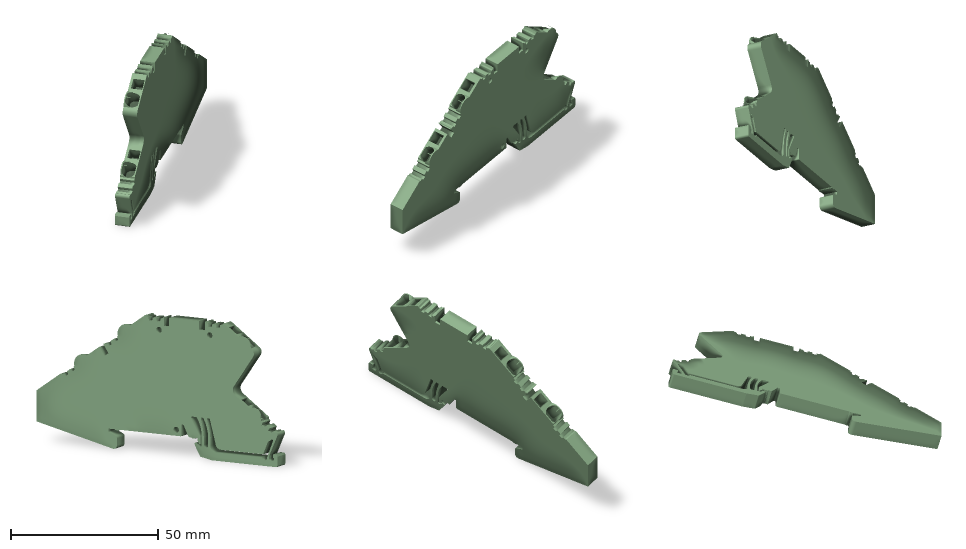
import cadquery as cq
import math

WIDTH = 5.1
HALF_WIDTH = WIDTH / 2
HALF_LENGTH = 47.5
TOP = 47.6
SLOPE = 35.0
COS = math.cos(math.radians(SLOPE))
SIN = math.sin(math.radians(SLOPE))

LEFT, RIGHT = 1, -1
TOP_LEFT_EDGE = 4.8
TOP_RIGHT_EDGE = -26.1
TIER_PITCH = 20.9
RAIL_FACE = 7.1
RAIL_PAD = 6.8

STEP_ALONG = 15.6
STEP_DROP = 17.3
STEP_CORNER_RADIUS = 1.9
STEP_ROOT_RADIUS = 2.3
LOWER_TIER_START = 17.6

POCKET_START = 2.1
LOWER_RIGHT_POCKET_START = 2.6
POCKET_END = 5.9
POCKET_DEPTH = 5.7
POCKET_X_MIN = -1.7
POCKET_X_MAX = 2.3
DOME_START = 7.2
DOME_END = 13.4
LOWER_RIGHT_DOME_END = 12.5
DOME_HEIGHT = 1.7
DOME_END_DROP = 0.5
DOME_ROOT = 0.95
DOME_WIDTH = 2.0
WIRE_HOLE_CENTER = 10.3
WIRE_HOLE_WIDTH = 4.4
WIRE_HOLE_DIAMETER = 5.5
WIRE_HOLE_DEPTH = 5.7
COMB_CENTER = 16.2

COMB_HALF_LENGTH = 3.5
COMB_CLEARANCE = 0.95
SHOULDER_EDGE = 3.1
NOTCH_MOUTH_OUTER = 2.4
NOTCH_MOUTH_INNER = 0.8
NOTCH_FLOOR = (0.95, 2.2)
TOOTH_DROP = 0.6
NOTCH_DEPTH = 1.7
TOP_COMB_CENTERS = (1.0, -22.5)

MARKER_SLOTS = ((-4.75, -2.7), (-18.8, -16.5))
MARKER_SLOT_DEPTH = 3.0
BRIDGE_POCKET_DEPTH = 2.85
BRIDGE_POCKET_WALL = 0.8

FLANK_SLOT_START = 20.0
FLANK_SLOT_WIDTH = 1.9
FLANK_SLOT_DEPTH = 3.6

SOCKET_CENTERS = ((-0.8, 43.0), (-20.7, 43.0), (-7.5, 9.2))
SOCKET_RADIUS = 1.0
SOCKET_DEPTH = 1.9


def flank_point(tier, along, above):
    """Point (y, z) at a distance down the flank and a height square to it."""
    start_y, start_z, side = tier
    y = start_y + side * (along * COS + above * SIN)
    return y, start_z - along * SIN + above * COS


def rounded_outline(corners):
    """Closed YZ wire through (y, z) or (y, z, radius) corners."""
    ends = []
    for i, corner in enumerate(corners):
        point = cq.Vector(corner[0], corner[1])
        radius = corner[2] if len(corner) > 2 else 0
        if radius == 0:
            ends.append((point, point, point))
            continue
        before = (cq.Vector(*corners[i - 1][:2]) - point).normalized()
        after = (cq.Vector(*corners[(i + 1) % len(corners)][:2]) - point).normalized()
        half_angle = before.getAngle(after) / 2
        setback = radius / math.tan(half_angle)
        bisector = (before + after).normalized()
        middle = point + bisector * (radius / math.sin(half_angle) - radius)
        ends.append((point + before * setback, middle, point + after * setback))

    first = ends[0][2]
    wire = cq.Workplane("YZ").moveTo(first.x, first.y)
    for start, middle, end in ends[1:] + ends[:1]:
        wire = wire.lineTo(start.x, start.y)
        if start != end:
            wire = wire.threePointArc((middle.x, middle.y), (end.x, end.y))
    return wire.close()


def through(outline):
    """Extrude a YZ outline over the whole thickness."""
    return outline.extrude(HALF_WIDTH, both=True)


def flank_plane(tier, along):
    """Work plane on the flank: local x is X, local y is side * distance down it."""
    y, z = flank_point(tier, along, 0)
    return cq.Workplane(cq.Plane((0, y, z), (1, 0, 0), (0, tier[2] * SIN, COS)))


UPPER_LEFT = (TOP_LEFT_EDGE, TOP, LEFT)
LOWER_LEFT = (*flank_point(UPPER_LEFT, TIER_PITCH, 0), LEFT)
UPPER_RIGHT = (TOP_RIGHT_EDGE, TOP, RIGHT)
LOWER_RIGHT = (*flank_point(UPPER_RIGHT, LOWER_TIER_START, -STEP_DROP), RIGHT)
TIER_FITTINGS = (
    (UPPER_LEFT, POCKET_START, DOME_END),
    (LOWER_LEFT, POCKET_START, DOME_END),
    (UPPER_RIGHT, POCKET_START, DOME_END),
    (LOWER_RIGHT, LOWER_RIGHT_POCKET_START, LOWER_RIGHT_DOME_END),
)
COMBED_TIERS = (UPPER_LEFT, LOWER_LEFT, LOWER_RIGHT)

LOWER_TIER_CORNER = 20.8
RAIL_FACE_END = -16.0


def body():
    left_flank_length = (HALF_LENGTH - TOP_LEFT_EDGE) / COS
    return through(rounded_outline([
        (TOP_LEFT_EDGE, TOP),
        flank_point(UPPER_LEFT, left_flank_length, 0),
        (HALF_LENGTH, 6.9),
        (15.9, 0, 1.3),
        (15.9, 4.7, 0.95),
        (19.1, 6.1),
        (19.1, RAIL_FACE),
        (16.6, RAIL_FACE),
        (16.4, RAIL_PAD),
        (15.2, RAIL_PAD),
        (14.9, RAIL_FACE),
        (-9.6, RAIL_FACE, 0.3),
        (-9.6, 11.2),
        (-10.4, 11.2, 0.3),
        (-12.4, RAIL_FACE),
        (-13.6, RAIL_FACE),
        (-13.8, RAIL_PAD),
        (-14.9, RAIL_PAD),
        (-15.1, RAIL_FACE),
        (RAIL_FACE_END, RAIL_FACE),
        (RAIL_FACE_END, 5.8),
        (-14.6, 5.3),
        (-15.0, 4.3),
        (-17.0, 0.9, 0.5),
        (-21.4, 0),
        (-HALF_LENGTH, 0, 0.7),
        (-HALF_LENGTH, 3.7),
        (-47.2, 4.3),
        (-45.6, 4.3),
        (-45.6, 3.1),
        (-46.0, 3.1),
        (-46.0, 2.0, 0.5),
        (-44.2, 2.0, 0.7),
        (-44.2, 3.6),
        (*flank_point(LOWER_RIGHT, LOWER_TIER_CORNER, 0), 0.9),
        (*flank_point(UPPER_RIGHT, STEP_ALONG, -STEP_DROP), STEP_ROOT_RADIUS),
        (*flank_point(UPPER_RIGHT, STEP_ALONG, 0), STEP_CORNER_RADIUS),
        (TOP_RIGHT_EDGE, TOP),
    ]))


def latch_slot():
    """Slot behind the tongue; a narrow throat opens it past the barb."""
    outline = (
        cq.Workplane("YZ")
        .moveTo(-17.0, 7.7)
        .lineTo(-13.3, 13.9)
        .lineTo(-13.5, 14.3)
        .lineTo(-15.6, 14.3)
        .threePointArc((-17.0, 11.4), (-17.6, 8.1))
        .lineTo(-17.6, 4.4)
        .lineTo(-16.8, 4.4)
        .lineTo(-15.8, 5.1)
        .lineTo(-15.8, 5.9)
        .lineTo(-16.0, 6.2)
        .lineTo(-16.6, 5.1)
        .lineTo(-17.1, 5.1)
        .close()
    )
    return through(outline)


def spring_slot():
    """Curved slot between the two spring strips."""
    outline = (
        cq.Workplane("YZ")
        .moveTo(-17.3, 14.3)
        .lineTo(-18.1, 14.3)
        .threePointArc((-19.6, 11.1), (-20.1, 7.8))
        .lineTo(-20.1, 4.9)
        .threePointArc((-19.3, 4.2), (-18.4, 4.9))
        .lineTo(-18.4, 7.5)
        .threePointArc((-18.0, 10.5), (-17.3, 13.5))
        .close()
    )
    return through(outline)


def foot_slot():
    """Long slot that parts the foot from the body and runs up both ends."""
    outline = (
        cq.Workplane("YZ")
        .moveTo(-19.7, 14.3)
        .lineTo(-20.7, 14.3)
        .lineTo(-23.0, 6.0)
        .threePointArc((-23.6, 4.7), (-24.8, 4.0))
        .lineTo(-41.8, 4.0)
        .lineTo(-43.7, 8.5)
        .lineTo(-44.7, 9.0)
        .threePointArc((-45.2, 9.4), (-45.6, 8.7))
        .lineTo(-43.3, 3.0)
        .threePointArc((-42.6, 2.0), (-41.4, 2.85))
        .lineTo(-22.9, 2.85)
        .threePointArc((-21.6, 3.5), (-21.0, 4.8))
        .lineTo(-21.0, 7.6)
        .threePointArc((-20.5, 10.7), (-19.6, 13.8))
        .close()
    )
    return through(outline)


def comb_cutter(frame, center):
    """Two notches, a lowered tooth and sloping shoulders."""
    half_profile = [
        (COMB_HALF_LENGTH, 0),
        (SHOULDER_EDGE, -TOOTH_DROP),
        (NOTCH_MOUTH_OUTER, -TOOTH_DROP),
        (NOTCH_FLOOR[1], -NOTCH_DEPTH),
        (NOTCH_FLOOR[0], -NOTCH_DEPTH),
        (NOTCH_MOUTH_INNER, -TOOTH_DROP),
    ]
    profile = [(-COMB_HALF_LENGTH, COMB_CLEARANCE)]
    profile += [(-along, above) for along, above in half_profile]
    profile += half_profile[::-1]
    profile += [(COMB_HALF_LENGTH, COMB_CLEARANCE)]
    points = [frame(center + along, above) for along, above in profile]
    return through(cq.Workplane("YZ").polyline(points).close())


def top_point(y, above):
    return y, TOP + above


def marker_slot(y_min, y_max):
    """Full-width slot in the top with a walled pocket in its floor."""
    center = (y_min + y_max) / 2
    length = y_max - y_min
    top_plane = cq.Workplane("XY", origin=(0, center, TOP))
    slot = top_plane.rect(WIDTH, length).extrude(-MARKER_SLOT_DEPTH)
    pocket = (
        top_plane.rect(WIDTH - 2 * BRIDGE_POCKET_WALL, length)
        .extrude(-MARKER_SLOT_DEPTH - BRIDGE_POCKET_DEPTH)
    )
    return slot.union(pocket)


def flank_slot():
    center = FLANK_SLOT_START + FLANK_SLOT_WIDTH / 2
    return flank_plane(UPPER_LEFT, center).rect(WIDTH, FLANK_SLOT_WIDTH).extrude(-FLANK_SLOT_DEPTH)


def test_pocket(tier, start):
    """Rectangular pocket sunk square to the flank."""
    return (
        flank_plane(tier, (start + POCKET_END) / 2)
        .center((POCKET_X_MIN + POCKET_X_MAX) / 2, 0)
        .rect(POCKET_X_MAX - POCKET_X_MIN, POCKET_END - start)
        .extrude(-POCKET_DEPTH)
    )


def wire_dome(tier, end):
    """Domed half collar beside the wire hole, flush with the -X face."""
    middle = (DOME_START + end) / 2
    profile = (
        cq.Workplane("YZ", origin=(-HALF_WIDTH, 0, 0))
        .moveTo(*flank_point(tier, DOME_START, 0))
        .threePointArc(
            flank_point(tier, middle, DOME_HEIGHT),
            flank_point(tier, end, -DOME_END_DROP),
        )
        .lineTo(*flank_point(tier, end, -DOME_ROOT))
        .lineTo(*flank_point(tier, DOME_START, -DOME_ROOT))
        .close()
    )
    return profile.extrude(DOME_WIDTH)


def wire_hole(tier):
    """Blind round hole with its sides flattened to leave walls in X."""
    floor = flank_plane(tier, WIRE_HOLE_CENTER).workplane(offset=-WIRE_HOLE_DEPTH)
    reach = WIRE_HOLE_DEPTH + DOME_HEIGHT
    bore = floor.circle(WIRE_HOLE_DIAMETER / 2).extrude(reach)
    return bore.intersect(floor.rect(WIRE_HOLE_WIDTH, WIRE_HOLE_DIAMETER).extrude(reach))


def sockets():
    return (
        cq.Workplane("YZ", origin=(-HALF_WIDTH, 0, 0))
        .pushPoints(SOCKET_CENTERS)
        .circle(SOCKET_RADIUS)
        .extrude(SOCKET_DEPTH)
    )


result = body()
for foot_cut in (latch_slot(), spring_slot(), foot_slot()):
    result = result.cut(foot_cut)

for comb_center in TOP_COMB_CENTERS:
    result = result.cut(comb_cutter(top_point, comb_center))
for combed_tier in COMBED_TIERS:
    comb = comb_cutter(lambda along, above: flank_point(combed_tier, along, above), COMB_CENTER)
    result = result.cut(comb)

for slot_min, slot_max in MARKER_SLOTS:
    result = result.cut(marker_slot(slot_min, slot_max))
result = result.cut(flank_slot())

for each_tier, pocket_start, dome_end in TIER_FITTINGS:
    result = result.union(wire_dome(each_tier, dome_end))
    result = result.cut(wire_hole(each_tier))
    result = result.cut(test_pocket(each_tier, pocket_start))

result = result.cut(sockets())